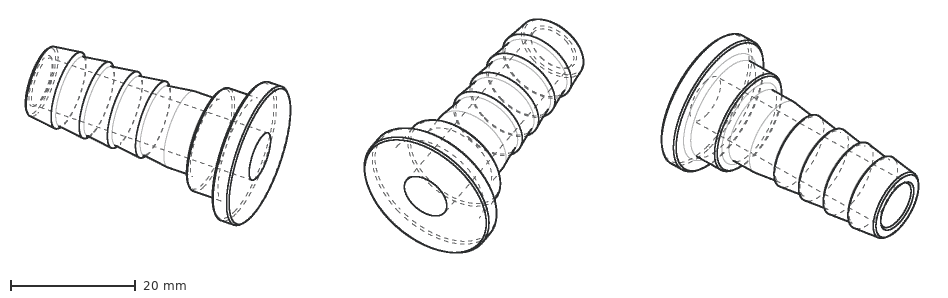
import cadquery as cq

length = 39.0
bore_radius = 8.0 / 2
barb_tip_radius = 13.0 / 2
collar_radius = 17.5 / 2
flange_radius = 23.5 / 2

barb_count = 5
barb_end = 25.0
barb_pitch = barb_end / barb_count
barb_root_depth = 0.6
barb_root_radius = barb_tip_radius - barb_root_depth
root_fillet = 0.5

collar_start = 30.0
flange_thickness = 3.0
flange_start = length - flange_thickness
shoulder_fillet = 0.8
edge_chamfer = 0.3


def add_concave_fillet(profile, corner_x, corner_radius, size):
    """Run along a cylinder, then blend out to the face at corner_x."""
    return (
        profile.lineTo(corner_x - size, corner_radius)
        .radiusArc((corner_x, corner_radius + size), -size)
    )


def add_chamfered_step(profile, start_x, radius):
    """Rise along a face at start_x to a chamfered outer edge."""
    return (
        profile.lineTo(start_x, radius - edge_chamfer)
        .lineTo(start_x + edge_chamfer, radius)
    )


def make_body():
    profile = cq.Workplane("XY").moveTo(0, 0)
    profile = add_chamfered_step(profile, 0, barb_root_radius)

    for barb in range(1, barb_count):
        tip_x = barb * barb_pitch
        profile = profile.lineTo(tip_x, barb_tip_radius)
        profile = profile.lineTo(tip_x, barb_root_radius + root_fillet)
        profile = profile.radiusArc((tip_x + root_fillet, barb_root_radius), -root_fillet)
    profile = profile.lineTo(barb_end, barb_tip_radius)

    profile = add_concave_fillet(profile, collar_start, barb_tip_radius, shoulder_fillet)
    profile = add_chamfered_step(profile, collar_start, collar_radius)
    profile = add_concave_fillet(profile, flange_start, collar_radius, shoulder_fillet)
    profile = add_chamfered_step(profile, flange_start, flange_radius)
    profile = profile.lineTo(length - edge_chamfer, flange_radius)
    profile = profile.lineTo(length, flange_radius - edge_chamfer).lineTo(length, 0)
    return profile.close().revolve(360, (0, 0, 0), (1, 0, 0))


def cut_bore(body):
    bored = body.faces("<X").workplane(origin=(0, 0, 0)).circle(bore_radius).cutThruAll()
    return bored.faces("<X").edges("%CIRCLE").edges(cq.selectors.RadiusNthSelector(0)).chamfer(edge_chamfer)


result = cut_bore(make_body())